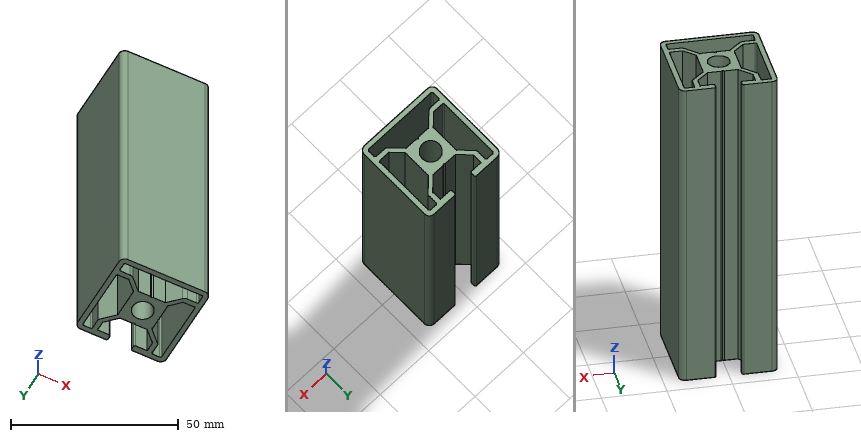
import cadquery as cq

length = 100
side = 30
corner_radius = 2
wall = 1.7
half_side = side / 2
inner_half = half_side - wall
chamber_radius = 0.5

core_half = 5.8
groove_half_width = 0.5
groove_depth = 0.3
bore_diameter = 6.8

leg_inner = 8.4
leg_outer = 10.1
slot_web_offset = 1.2
chamber_web_offset = 0.8
bend_radius = 2.0

slot_half_width = 4.0
lip_thickness = 2.1
lip_radius = 0.5
lip_underside = half_side - lip_thickness


def prism(points):
    """Extrude a closed XY outline over the full length."""
    return cq.Workplane("XY").polyline(points).close().extrude(length)


def round_edge(solid, x, y, radius):
    """Fillet the edge parallel to Z that passes through (x, y)."""
    return solid.edges(cq.selectors.NearestToPointSelector((x, y, length / 2))).fillet(radius)


def mirrored_outline(right_half):
    """Complete an outline that is symmetric about the Y axis."""
    left_half = [(-x, y) for x, y in reversed(right_half)]
    return right_half + left_half


body = cq.Workplane("XY").rect(side, side).extrude(length)
body = body.edges("|Z").fillet(corner_radius)

t_slot = prism(mirrored_outline([
    (core_half - slot_web_offset, core_half),
    (leg_inner, leg_inner + slot_web_offset),
    (leg_inner, lip_underside),
    (slot_half_width, lip_underside),
    (slot_half_width, half_side),
]))

upper_groove = prism([
    (-groove_half_width, core_half),
    (0, core_half - groove_depth),
    (groove_half_width, core_half),
])
lower_groove = upper_groove.mirror("XZ")

bottom_chamber = prism(mirrored_outline([
    (core_half - slot_web_offset, -core_half),
    (leg_outer - slot_web_offset, -leg_outer),
    (inner_half, -leg_outer),
    (inner_half, -inner_half),
]))
for sign in (-1, 1):
    bottom_chamber = round_edge(bottom_chamber, sign * inner_half, -inner_half, chamber_radius)
    bottom_chamber = round_edge(bottom_chamber, sign * inner_half, -leg_outer, chamber_radius)
    bottom_chamber = round_edge(
        bottom_chamber, sign * (leg_outer - slot_web_offset), -leg_outer, bend_radius
    )

right_chamber = prism([
    (inner_half, inner_half),
    (leg_outer, inner_half),
    (leg_outer, leg_outer - chamber_web_offset),
    (core_half, core_half - chamber_web_offset),
    (core_half, -core_half + chamber_web_offset),
    (leg_inner + chamber_web_offset, -leg_inner),
    (inner_half, -leg_inner),
])
for corner in ((inner_half, inner_half), (leg_outer, inner_half), (inner_half, -leg_inner)):
    right_chamber = round_edge(right_chamber, *corner, chamber_radius)
left_chamber = right_chamber.mirror("YZ")

bore = cq.Workplane("XY").circle(bore_diameter / 2).extrude(length)

result = body
for void in (t_slot, upper_groove, lower_groove, bottom_chamber, right_chamber, left_chamber, bore):
    result = result.cut(void)

for sign in (-1, 1):
    for lip_edge_y in (half_side, lip_underside):
        result = round_edge(result, sign * slot_half_width, lip_edge_y, lip_radius)